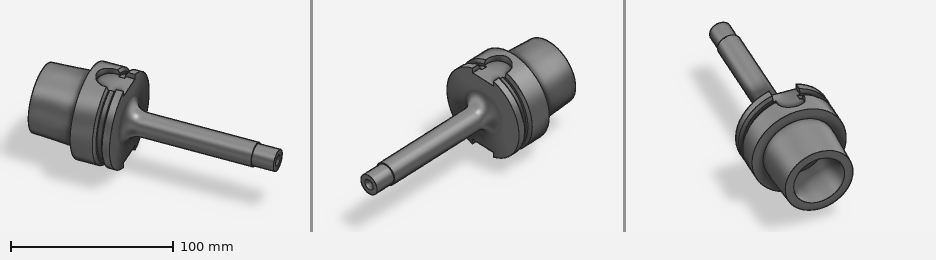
import cadquery as cq
import math


total_length = 157.5
taper_length = 25.7
collar_start = 31.8
collar_end = 58.1
shank_start = 67.9
tip_start = 142.9

nose_radius = 22.7
neck_radius = 24.1
collar_radius = 31.5
shank_radius = 7.9
tip_radius = 7.1

groove_start = 48.0
groove_end = 51.8
groove_radius = 27.4
groove_chamfer_length = 1.4
groove_chamfer_depth = 2.4

blend_radius = 10.1

cup_radius = 17.0
cup_depth = collar_start
feed_radius = 4.3
feed_end = collar_end
through_radius = 3.6

slot_width = 18.1
slot_start = 36.5
slot_floor = 26.5


def turned_body():
    """Revolve the outer profile; the blend arc is tangent to the shank."""
    def blend_height(x):
        offset = shank_start - x
        return shank_radius + blend_radius - math.sqrt(blend_radius**2 - offset**2)

    blend_middle = (collar_end + shank_start) / 2
    chamfer_bottom = collar_radius - groove_chamfer_depth
    return (
        cq.Workplane("XY")
        .moveTo(0, 0)
        .lineTo(0, nose_radius)
        .lineTo(taper_length, neck_radius)
        .lineTo(collar_start, neck_radius)
        .lineTo(collar_start, collar_radius)
        .lineTo(groove_start - groove_chamfer_length, collar_radius)
        .lineTo(groove_start, chamfer_bottom)
        .lineTo(groove_start, groove_radius)
        .lineTo(groove_end, groove_radius)
        .lineTo(groove_end, chamfer_bottom)
        .lineTo(groove_end + groove_chamfer_length, collar_radius)
        .lineTo(collar_end, collar_radius)
        .lineTo(collar_end, blend_height(collar_end))
        .threePointArc((blend_middle, blend_height(blend_middle)), (shank_start, shank_radius))
        .lineTo(tip_start, shank_radius)
        .lineTo(tip_start, tip_radius)
        .lineTo(total_length, tip_radius)
        .lineTo(total_length, 0)
        .close()
        .revolve(360, (0, 0, 0), (1, 0, 0))
    )


def bore(radius, depth):
    """Cylinder on the axis, starting at the open end."""
    return cq.Workplane("YZ").circle(radius).extrude(depth)


def drive_slot():
    """Round-ended slot with a flat floor, open through the collar end face."""
    half_width = slot_width / 2
    round_center = slot_start + half_width
    return (
        cq.Workplane("XY")
        .workplane(offset=slot_floor)
        .moveTo(collar_end, -half_width)
        .lineTo(round_center, -half_width)
        .threePointArc((slot_start, 0), (round_center, half_width))
        .lineTo(collar_end, half_width)
        .close()
        .extrude(collar_radius - slot_floor)
    )


result = turned_body()
for radius, depth in (
    (cup_radius, cup_depth),
    (feed_radius, feed_end),
    (through_radius, total_length),
):
    result = result.cut(bore(radius, depth))

for side_angle in (0, 180):
    result = result.cut(drive_slot().rotate((0, 0, 0), (1, 0, 0), side_angle))